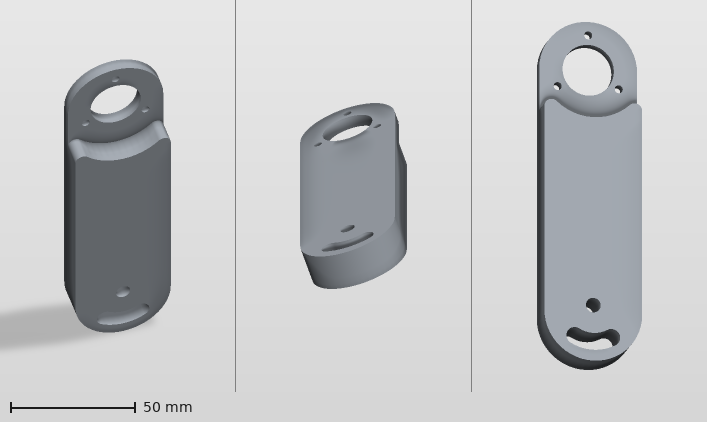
import cadquery as cq
import math

length = 143.0
width = 40.0
plate_thickness = 5.0
total_thickness = 15.0

end_radius = width / 2
bore_z = length - end_radius
bore_diameter = 21.0

screw_diameter = 3.3
screw_circle_radius = 14.5
screw_angles = (90, 210, 330)

pivot_z = 23.0
pivot_diameter = 6.0

slot_radius = 15.0
slot_width = 7.0
slot_half_angle = 30

hollow_radius = 22.0
shoulder_radius = 3.0


def polar(radius, degrees, center_z):
    """Point (y, z) at an angle from +Y around (0, center_z)."""
    angle = math.radians(degrees)
    return (radius * math.cos(angle), center_z + radius * math.sin(angle))


def yz_cylinder(diameter, y, z):
    """Cylinder along X through the full thickness."""
    return cq.Workplane("YZ").center(y, z).circle(diameter / 2).extrude(total_thickness)


def rounded_bar(thickness):
    """Bar with full round ends."""
    return (
        cq.Workplane("YZ")
        .center(0, length / 2)
        .slot2D(length, width, 90)
        .extrude(thickness)
    )


def body_envelope():
    """Region below the hollow arc, with rounded shoulders at both sides."""
    shoulder_y = end_radius - shoulder_radius
    center_distance = hollow_radius + shoulder_radius
    shoulder_z = bore_z - math.sqrt(center_distance**2 - shoulder_y**2)

    tangent_angle = math.degrees(math.atan2(shoulder_z - bore_z, shoulder_y))
    tangent_y, tangent_z = polar(hollow_radius, tangent_angle, bore_z)
    middle_angle = math.radians((180 + tangent_angle) / 2)
    middle_y = shoulder_y + shoulder_radius * math.cos(middle_angle)
    middle_z = shoulder_z + shoulder_radius * math.sin(middle_angle)

    return (
        cq.Workplane("YZ")
        .moveTo(-end_radius, 0)
        .lineTo(end_radius, 0)
        .lineTo(end_radius, shoulder_z)
        .threePointArc((middle_y, middle_z), (tangent_y, tangent_z))
        .threePointArc((0, bore_z - hollow_radius), (-tangent_y, tangent_z))
        .threePointArc((-middle_y, middle_z), (-end_radius, shoulder_z))
        .close()
        .extrude(total_thickness)
    )


def curved_slot():
    """Round-ended arc slot centered on the pivot, below it."""
    start, middle, end = -90 - slot_half_angle, -90, -90 + slot_half_angle
    inner = slot_radius - slot_width / 2
    outer = slot_radius + slot_width / 2
    band = (
        cq.Workplane("YZ")
        .moveTo(*polar(outer, start, pivot_z))
        .threePointArc(polar(outer, middle, pivot_z), polar(outer, end, pivot_z))
        .lineTo(*polar(inner, end, pivot_z))
        .threePointArc(polar(inner, middle, pivot_z), polar(inner, start, pivot_z))
        .close()
        .extrude(total_thickness)
    )
    for angle in (start, end):
        band = band.union(yz_cylinder(slot_width, *polar(slot_radius, angle, pivot_z)))
    return band


thick_body = rounded_bar(total_thickness).intersect(body_envelope())
result = rounded_bar(plate_thickness).union(thick_body)

result = result.cut(yz_cylinder(bore_diameter, 0, bore_z))
for screw_angle in screw_angles:
    result = result.cut(yz_cylinder(screw_diameter, *polar(screw_circle_radius, screw_angle, bore_z)))

result = result.cut(yz_cylinder(pivot_diameter, 0, pivot_z))
result = result.cut(curved_slot())